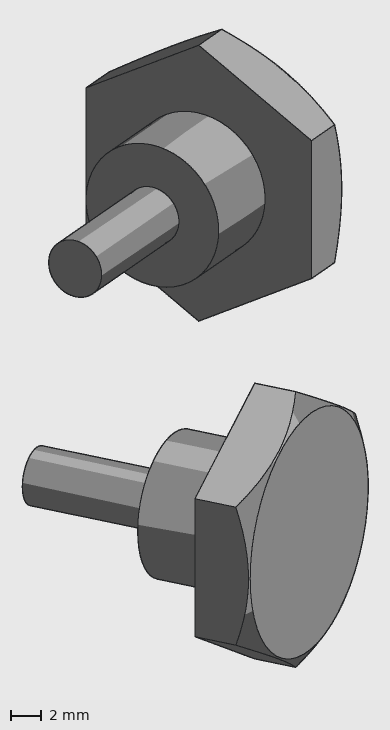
import cadquery as cq
import math

across_flats = 17.0
head_thickness = 4.0
collar_diameter = 10.0
collar_length = 6.0
pin_diameter = 4.0
pin_length = 10.0
crown_diameter = 16.8
corner_drop = 1.0

across_corners = across_flats / math.cos(math.radians(30))
corner_radius = across_corners / 2
crown_radius = crown_diameter / 2


def cylinder_along_y(diameter, start, length):
    """Solid cylinder from y = start towards +Y."""
    plane = cq.Workplane("XZ", origin=(0, start, 0))
    return plane.circle(diameter / 2).extrude(-length)


def chamfered_head():
    """Hexagonal head with corners up and down, its outer edge turned to a cone."""
    hexagon = (
        cq.Workplane("XZ")
        .transformed(rotate=(0, 0, 90))
        .polygon(6, across_corners)
        .extrude(-head_thickness)
    )
    turning_envelope = (
        cq.Workplane("XY")
        .moveTo(0, 0)
        .lineTo(corner_radius, 0)
        .lineTo(corner_radius, head_thickness - corner_drop)
        .lineTo(crown_radius, head_thickness)
        .lineTo(0, head_thickness)
        .close()
        .revolve(360, (0, 0, 0), (0, 1, 0))
    )
    return hexagon.intersect(turning_envelope)


collar = cylinder_along_y(collar_diameter, -collar_length, collar_length)
pin = cylinder_along_y(pin_diameter, -collar_length - pin_length, pin_length)

result = chamfered_head().union(collar).union(pin)